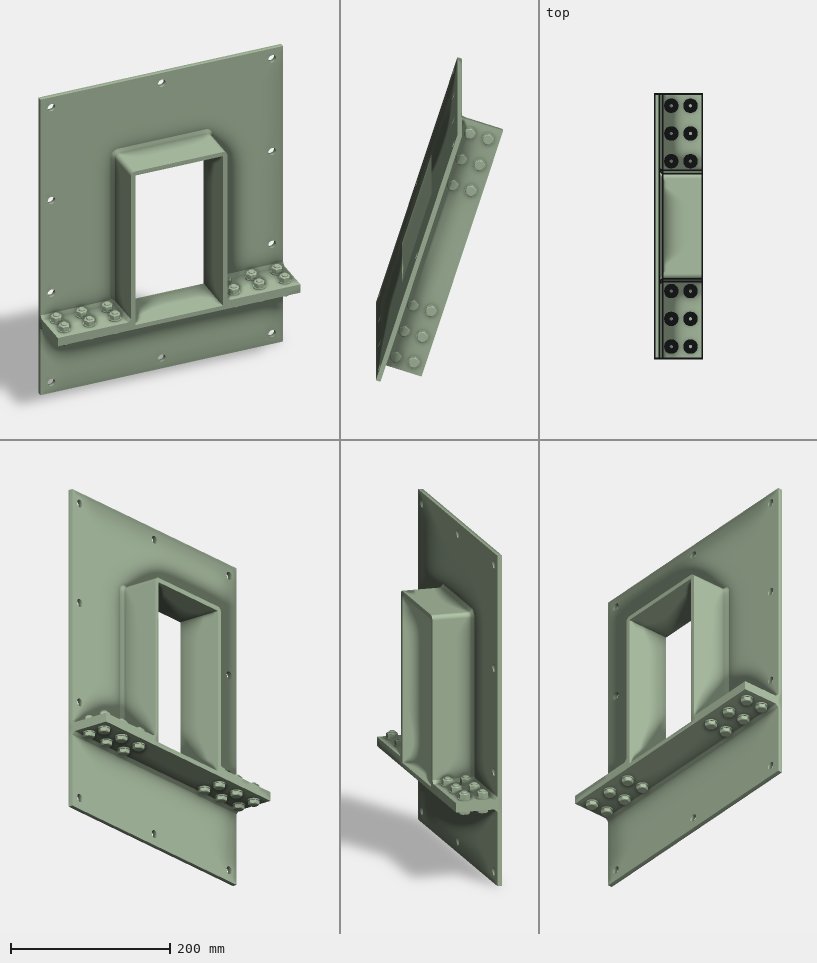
import cadquery as cq
import math

depth = 60.0
width = 332.5
height = 430.0
sheet = 6.0
half_width = width / 2

flange = 100.0
duct_half = half_width - flange
duct_top = height - flange
duct_inner_half = duct_half - sheet
duct_inner_top = duct_top - sheet

seam_z = flange + sheet
shelf_top = seam_z + sheet
shelf_bottom = seam_z - sheet
weld_leg = 4.0

hole_diameter = 10.5
hole_inset = 15.0
hole_pitch = 135.0
pitched_rows = 3

bolt_inset = 15.0
bolt_pitch_x = 24.0
bolt_pitch_y = 35.0
bolts_along_x = 2
bolts_per_side = 3
bolt_diameter = 8.0
bolt_tip = 2.0
tip_chamfer = 1.0
washer_diameter = 16.0
washer_height = 1.6
hex_flats = 13.0
hex_chamfer_diameter = 11.5
hex_chamfer_height = 1.5
nut_height = 7.0
head_height = 5.0


def box(x_range, y_range, z_range):
    """Box spanning the given (low, high) ranges."""
    spans = (x_range, y_range, z_range)
    size = [high - low for low, high in spans]
    corner = [low for low, high in spans]
    return cq.Workplane("XY").box(*size, centered=False).translate(tuple(corner))


def edges_near(body, x_range, y_range, z_range):
    """Edges of the body whose centres lie inside the given (low, high) ranges."""
    low, high = zip(x_range, y_range, z_range)
    return body.edges(cq.selectors.BoxSelector(low, high))


def make_duct_and_shelf():
    """Duct, still solid inside, standing on the shelf."""
    duct = box((0, depth), (-duct_half, duct_half), (seam_z, duct_top))
    duct = duct.edges("|X and >Z").fillet(sheet)
    shelf = box((0, depth), (-half_width, half_width), (shelf_bottom, shelf_top))
    body = duct.union(shelf)
    seams = edges_near(
        body,
        (0, depth),
        (-duct_half - weld_leg, duct_half + weld_leg),
        (shelf_top - weld_leg, shelf_top + weld_leg),
    )
    return seams.chamfer(weld_leg)


def make_bracket():
    """Plate with the solid duct and the shelf welded to its back."""
    plate = box((0, sheet), (-half_width, half_width), (0, height))
    body = plate.union(make_duct_and_shelf())
    inner_half = half_width - weld_leg
    seams = edges_near(
        body,
        (sheet / 2, sheet + weld_leg / 2),
        (-inner_half, inner_half),
        (weld_leg, height - weld_leg),
    )
    return seams.chamfer(weld_leg)


def make_opening():
    """Clear passage through the duct."""
    return box((0, depth), (-duct_inner_half, duct_inner_half), (seam_z, duct_inner_top))


def make_mounting_holes():
    """Holes along both plate sides, plus one in the middle of the top and bottom edges."""
    side_y = half_width - hole_inset
    top_z = height - hole_inset
    side_rows = [top_z - row * hole_pitch for row in range(pitched_rows)] + [hole_inset]
    places = [(0, hole_inset), (0, top_z)]
    places += [(y, z) for y in (-side_y, side_y) for z in side_rows]
    return cq.Workplane("YZ").pushPoints(places).circle(hole_diameter / 2).extrude(sheet)


def make_hex(hex_height):
    """Hexagon prism on the XY plane with flats facing +X and -X and its top corners turned off."""
    corner_diameter = hex_flats / math.cos(math.pi / 6)
    prism = cq.Workplane("XY").polygon(6, corner_diameter).extrude(hex_height)
    prism = prism.rotate((0, 0, 0), (0, 0, 1), 30)
    turned_blank = (
        cq.Workplane("XZ")
        .lineTo(corner_diameter / 2, 0)
        .lineTo(corner_diameter / 2, hex_height - hex_chamfer_height)
        .lineTo(hex_chamfer_diameter / 2, hex_height)
        .lineTo(0, hex_height)
        .close()
        .revolve(360, (0, 0, 0), (0, 1, 0))
    )
    return prism.intersect(turned_blank)


def make_bolt():
    """Bolt on the Z axis, with a washer and nut above the shelf and a washer and head below it."""
    nut_base = shelf_top + washer_height
    head_base = shelf_bottom - washer_height
    tip_z = nut_base + nut_height + bolt_tip
    shank = cq.Workplane("XY").workplane(offset=head_base).circle(bolt_diameter / 2).extrude(tip_z - head_base)
    shank = shank.faces(">Z").chamfer(tip_chamfer)
    washers = (
        cq.Workplane("XY")
        .workplane(offset=head_base)
        .circle(washer_diameter / 2)
        .extrude(nut_base - head_base)
    )
    nut = make_hex(nut_height).translate((0, 0, nut_base))
    head = make_hex(head_height).rotate((0, 0, 0), (1, 0, 0), 180).translate((0, 0, head_base))
    return washers.union(shank).union(nut).union(head)


def add_bolts(body):
    """Rows of bolts in the shelf on both sides of the duct."""
    bolt = make_bolt()
    for column in range(bolts_along_x):
        x = depth - bolt_inset - column * bolt_pitch_x
        for row in range(bolts_per_side):
            y = half_width - bolt_inset - row * bolt_pitch_y
            for side in (-1, 1):
                body = body.union(bolt.translate((x, side * y, 0)))
    return body


result = make_bracket().cut(make_opening()).cut(make_mounting_holes())
result = add_bolts(result)